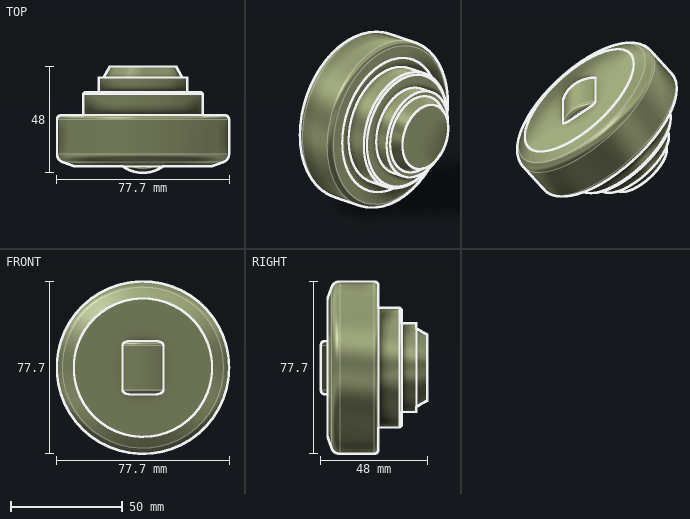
import cadquery as cq
import math


ring_radius = 38.85
ring_width = 23.0
ring_back_fillet = 2.0
ring_front_fillet = 4.0
front_cone_angle = math.radians(20)
bore_radius = 31.15

hub_radius = 27.0
hub_back = 33.5
hub_chamfer = 1.0
collar_radius = 20.01
collar_back = 40.0
tip_base_radius = 17.7
tip_end_radius = 14.9
tip_back = 45.0

roller_radius = 15.5
roller_length = 24.1
roller_fillet = 2.0
roller_protrusion = 3.0
roller_center_y = roller_radius - roller_protrusion


def revolve_about_y(profile):
    """Turn a closed profile of (radius, Y) points about the main axis."""
    return profile.close().revolve(360, (0, 0, 0), (0, 1, 0))


def make_ring():
    """Ring with a conical front edge blended into its running surface."""
    fillet_center_radius = ring_radius - ring_front_fillet

    tangent_radius = fillet_center_radius + ring_front_fillet * math.sin(front_cone_angle)
    tangent_y = (tangent_radius - bore_radius) * math.tan(front_cone_angle)
    fillet_center_y = tangent_y + ring_front_fillet * math.cos(front_cone_angle)

    arc_middle_angle = (math.pi / 2 - front_cone_angle) / 2
    arc_middle = (
        fillet_center_radius + ring_front_fillet * math.cos(arc_middle_angle),
        fillet_center_y - ring_front_fillet * math.sin(arc_middle_angle),
    )
    profile = (
        cq.Workplane("XY")
        .moveTo(bore_radius, 0)
        .lineTo(tangent_radius, tangent_y)
        .threePointArc(arc_middle, (ring_radius, fillet_center_y))
        .lineTo(ring_radius, ring_width - ring_back_fillet)
        .tangentArcPoint((ring_radius - ring_back_fillet, ring_width), relative=False)
        .lineTo(bore_radius, ring_width)
    )
    return revolve_about_y(profile)


def make_roller():
    """Cylindrical roller with rounded ends, standing proud of the front face."""
    return (
        cq.Workplane("XY", origin=(0, roller_center_y, -roller_length / 2))
        .circle(roller_radius)
        .extrude(roller_length)
        .faces("|Z")
        .edges()
        .fillet(roller_fillet)
    )


def make_pin(roller):
    """Stepped pin that fills the ring bore and has a matching seat for the roller."""
    profile = cq.Workplane("XY").polyline([
        (0, 0),
        (bore_radius, 0),
        (bore_radius, ring_width),
        (hub_radius, ring_width),
        (hub_radius, hub_back - hub_chamfer),
        (hub_radius - hub_chamfer, hub_back),
        (collar_radius, hub_back),
        (collar_radius, collar_back),
        (tip_base_radius, collar_back),
        (tip_end_radius, tip_back),
        (0, tip_back),
    ])
    return revolve_about_y(profile).cut(roller)


ring = make_ring()
roller = make_roller()
pin = make_pin(roller)

result = cq.Compound.makeCompound([
    ring.solids().val(),
    pin.solids().val(),
    roller.solids().val(),
])